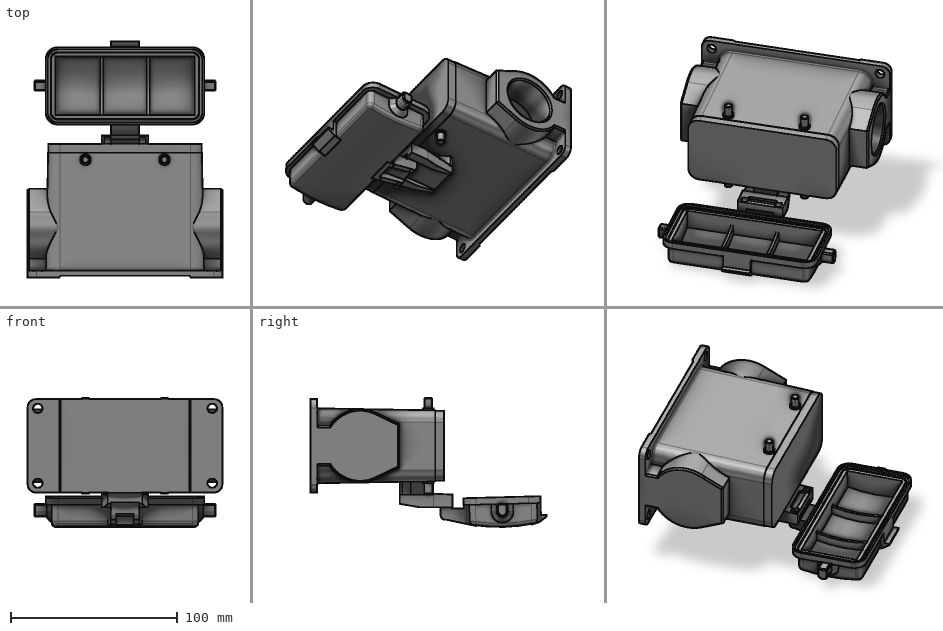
import cadquery as cq
import math

overall_length = 141.7

flange_width = 117.0
flange_height = 56.1
flange_thickness = 4.1
flange_corner = 5.1
flange_hole_diameter = 5.5
flange_hole_x = 52.3
flange_hole_z = 22.4
recess_depth = 1.0
recess_half_width = 39.5

body_root_size = (95.0, 45.2)
body_root_corner = 8.2
body_inset = 1.3
body_end_y = 75.0
body_root_fillet = 1.0
mouth_size = (92.1, 42.1)
mouth_corner = 6.8
housing_length = 80.2

port_y = 29.9
port_radius = 22.0
port_flat_y = 53.3
port_flat_half_height = 13.2
port_neck_half_height = 11.9
port_web_half_height = 14.2
port_inner_x = 28.3
port_edge_chamfer = 1.0
port_bore_radius = 15.2
port_bore_depth = 19.0

pin_x = 23.7
pin_y = 70.7
pin_radius = 2.3
pin_tip_z = 28.8
pin_chamfer = 0.4
collar_radius = 3.3
collar_z = 22.4

bracket_front_y = 53.6
bracket_front_half_width = 10.3
bracket_half_width = 14.0
bracket_flare_y = 73.7
bracket_end_y = 85.3
bracket_bottom_z = -37.0
bracket_front_bottom_z = -34.9
bracket_slope_y = 65.9
bracket_shoulder_z = -29.5
bracket_top_z = -28.6
bracket_end_top_z = -29.2
post_half_width = 7.1
post_waist_y = 60.2
post_plate_y = 55.1
socket_inner_x = 8.5
socket_outer_x = 12.5
socket_y = 82.5
socket_radius = 2.1
knuckle_slot_z = -33.9
knuckle_relief_y = (78.8, 84.2)
knuckle_relief_z = -30.5

lid_z = -30.8
lid_tilt = 1.5
rim_size = (95.2, 46.3)
rim_corner = 7.4
rim_height = 4.1
lip_width = 1.3
lip_depth = 1.4
seat_inset = 3.0
seat_step = 0.4
seat_chamfer = 0.35
cavity_inset = 5.7
cavity_floor = 13.6
shell_size = (87.9, 40.5)
shell_shift_y = 0.5
shell_corner = 3.5
shell_edge_fillet = 2.5
lid_side_depth = 15.9
lid_sag = 2.1
rib_x = 14.0
rib_thickness = 1.7
rib_height = 5.2
rib_end_fillet = 1.0

peg_tip_x = 54.4
peg_radius = 3.1
peg_center_z = -8.6
peg_top_z = -4.0
peg_chamfer = 0.7
peg_top_chamfer = 0.9
boss_radius = 6.7
boss_tip_x = 47.0
boss_tip_radius = 3.4

strap_half_width = 8.5
strap_root_fillet = 1.8
tab_tip_y = 26.5
tab_top_z = -11.3
tab_tip_z = -12.3
tab_bottom = (21.8, -15.7)
arm_end_y = -37.1
arm_top_z = -6.1
arm_knuckle_y = -30.2
arm_knuckle_z = -2.3
arm_end_z = -9.8
arm_bottom = (-33.6, -12.8)
arm_slot_half_width = 5.2
arm_slot_end_z = -9.1
arm_slot_wall_z = -10.9

half_width = flange_width / 2
tilt_angle = math.radians(lid_tilt)
lid_y = overall_length - tab_tip_y * math.cos(tilt_angle) + tab_tip_z * math.sin(tilt_angle)
shell_near_y = shell_shift_y - shell_size[1] / 2
shell_far_y = shell_shift_y + shell_size[1] / 2
strap_root_z = -lid_side_depth - lid_sag / 2


def rounded_plate(size, corner, start, thickness, plane="XY"):
    """Rounded rectangle with thickness along the plane's normal."""
    plate = cq.Workplane(plane).workplane(offset=start)
    return plate.rect(*size).extrude(thickness).edges("|Z" if plane == "XY" else "|Y").fillet(corner)


def rounded_rectangle(size, corner):
    return cq.Sketch().rect(*size).vertices().fillet(corner)


def block(x_range, y_range, z_range):
    spans = [high - low for low, high in (x_range, y_range, z_range)]
    return cq.Workplane("XY").box(*spans, centered=False).translate((x_range[0], y_range[0], z_range[0]))


def prism_across(profile, half):
    """Closed Y-Z outline extruded evenly to both sides of x = 0."""
    return profile.close().extrude(half, both=True)


def side_profile():
    return cq.Workplane("YZ")


def mirrored(shape):
    return shape.union(shape.mirror("YZ"))


def housing_body():
    taper = math.degrees(math.atan(body_inset / body_end_y))
    root = cq.Workplane("XZ").placeSketch(rounded_rectangle(body_root_size, body_root_corner))
    mouth = rounded_plate(mouth_size, mouth_corner, -housing_length, housing_length - body_end_y, "XZ")
    return root.extrude(-body_end_y, taper=taper).union(mouth)


def fillet_body_root(housing):
    reach_x, reach_z = (side / 2 for side in body_root_size)
    around_root = cq.selectors.BoxSelector(
        (-reach_x, flange_thickness - body_root_fillet, -reach_z),
        (reach_x, flange_thickness + body_root_fillet, reach_z),
        boundingbox=True,
    )
    return housing.edges(around_root).fillet(body_root_fillet)


def flange():
    plate = rounded_plate(
        (flange_width, flange_height), flange_corner, -flange_thickness, flange_thickness, "XZ"
    )
    holes = (
        cq.Workplane("XZ")
        .rect(2 * flange_hole_x, 2 * flange_hole_z, forConstruction=True)
        .vertices()
        .circle(flange_hole_diameter / 2)
        .extrude(-flange_thickness)
    )
    return plate.cut(holes)


def flange_recess():
    floor_half_width = recess_half_width - recess_depth
    outline = cq.Workplane("XY").polyline(
        [
            (-recess_half_width, 0),
            (recess_half_width, 0),
            (floor_half_width, recess_depth),
            (-floor_half_width, recess_depth),
        ]
    )
    return outline.close().extrude(flange_height / 2, both=True)


def port():
    """Cable port on the +X side: a round boss with a tapered nose and a neck to the flange."""
    nose_length = port_flat_y - port_y
    nose_distance = math.hypot(nose_length, port_flat_half_height)
    tangent_angle = math.atan2(port_flat_half_height, nose_length) + math.acos(port_radius / nose_distance)
    tangent_y = port_y + port_radius * math.cos(tangent_angle)
    tangent_z = port_radius * math.sin(tangent_angle)
    neck_y = port_y - math.sqrt(port_radius**2 - port_neck_half_height**2)
    neck_root_z = port_neck_half_height + body_root_fillet
    outline = (
        cq.Workplane("YZ")
        .workplane(offset=port_inner_x)
        .moveTo(0, port_web_half_height)
        .lineTo(flange_thickness, port_web_half_height)
        .lineTo(flange_thickness, neck_root_z)
        .radiusArc((flange_thickness + body_root_fillet, port_neck_half_height), -body_root_fillet)
        .lineTo(neck_y, port_neck_half_height)
        .threePointArc((port_y, port_radius), (tangent_y, tangent_z))
        .lineTo(port_flat_y, port_flat_half_height)
        .lineTo(port_flat_y, -port_flat_half_height)
        .lineTo(tangent_y, -tangent_z)
        .threePointArc((port_y, -port_radius), (neck_y, -port_neck_half_height))
        .lineTo(flange_thickness + body_root_fillet, -port_neck_half_height)
        .radiusArc((flange_thickness, -neck_root_z), -body_root_fillet)
        .lineTo(flange_thickness, -port_web_half_height)
        .lineTo(0, -port_web_half_height)
        .close()
    )
    return outline.extrude(half_width - port_inner_x).faces(">X").chamfer(port_edge_chamfer)


def port_bore():
    """Blind bore of the -X port, with a chamfered mouth."""
    mouth_center = (-half_width, port_y, 0)
    bore = cq.Workplane("YZ", origin=mouth_center).circle(port_bore_radius).extrude(port_bore_depth)
    mouth = cq.Solid.makeCone(
        port_bore_radius + port_edge_chamfer,
        port_bore_radius,
        port_edge_chamfer,
        cq.Vector(*mouth_center),
        cq.Vector(1, 0, 0),
    )
    return bore.union(mouth)


def locking_pins():
    spots = [(-pin_x, pin_y), (pin_x, pin_y)]
    pins = cq.Workplane("XY").pushPoints(spots).circle(pin_radius).extrude(pin_tip_z, both=True)
    pins = pins.faces("<Z or >Z").chamfer(pin_chamfer)
    return pins.union(cq.Workplane("XY").pushPoints(spots).circle(collar_radius).extrude(collar_z, both=True))


def hinge_bracket():
    plan = (
        cq.Workplane("XY")
        .workplane(offset=bracket_bottom_z)
        .polyline(
            [
                (-bracket_front_half_width, bracket_front_y),
                (bracket_front_half_width, bracket_front_y),
                (bracket_half_width, bracket_flare_y),
                (bracket_half_width, bracket_end_y),
                (-bracket_half_width, bracket_end_y),
                (-bracket_half_width, bracket_flare_y),
            ]
        )
        .close()
        .extrude(bracket_top_z - bracket_bottom_z)
    )
    side = side_profile().polyline(
        [
            (bracket_front_y, bracket_front_bottom_z),
            (bracket_slope_y, bracket_bottom_z),
            (bracket_end_y, bracket_bottom_z),
            (bracket_end_y, bracket_end_top_z),
            (bracket_flare_y, bracket_top_z),
            (bracket_flare_y, bracket_shoulder_z),
            (bracket_front_y, bracket_shoulder_z),
        ]
    )
    arms = plan.intersect(prism_across(side, bracket_half_width))
    slot = block(
        (-strap_half_width, strap_half_width),
        (bracket_front_y, bracket_end_y),
        (bracket_bottom_z, knuckle_slot_z),
    )
    sockets = mirrored(
        cq.Workplane("YZ", origin=(socket_inner_x, socket_y, bracket_end_top_z))
        .circle(socket_radius)
        .extrude(socket_outer_x - socket_inner_x)
    )
    relief_start_y, relief_end_y = knuckle_relief_y
    relief = side_profile().polyline(
        [
            (relief_end_y, bracket_top_z),
            (relief_start_y, bracket_top_z),
            (relief_start_y, knuckle_relief_z),
        ]
    )
    arms = arms.cut(slot).cut(sockets).cut(prism_across(relief, strap_half_width))
    return arms.union(bracket_post())


def bracket_post():
    """Post that hangs the bracket from the underside of the housing."""
    right_side = [
        (bracket_front_half_width, bracket_front_y),
        (bracket_front_half_width, post_plate_y),
        (post_half_width, post_waist_y),
        (post_half_width, bracket_flare_y),
    ]
    left_side = [(-x, y) for x, y in reversed(right_side)]
    root_z = -mouth_size[1] / 2
    outline = cq.Workplane("XY").workplane(offset=root_z).polyline(right_side + left_side).close()
    return outline.extrude(bracket_shoulder_z - root_z)


def crowned_prism(half_x, half_y, top_z, side_z):
    """Box from top_z down to a floor that bows down by lid_sag at y = 0."""
    profile = (
        side_profile()
        .moveTo(-half_y, top_z)
        .lineTo(-half_y, side_z)
        .threePointArc((0, side_z - lid_sag), (half_y, side_z))
        .lineTo(half_y, top_z)
    )
    return prism_across(profile, half_x)


def lid_shell():
    half_x, half_y = (side / 2 for side in shell_size)
    shell = crowned_prism(half_x, half_y, -rim_height, -lid_side_depth)
    shell = shell.edges("|Z").fillet(shell_corner)
    shell = shell.faces("<Z").edges().fillet(shell_edge_fillet)
    shell = shell.translate((0, shell_shift_y, 0))
    return shell.union(rounded_plate(rim_size, rim_corner, -rim_height, rim_height))


def inset_plate(inset, depth):
    size = [side - 2 * inset for side in rim_size]
    return rounded_plate(size, rim_corner - inset, -depth, depth)


def lid_cavity():
    seat_depth = lip_depth + seat_step
    seat = inset_plate(seat_inset, seat_depth).faces("<Z").edges().chamfer(seat_chamfer)
    half_x, half_y = (side / 2 - cavity_inset for side in rim_size)
    cavity = crowned_prism(half_x, half_y, 0, -cavity_floor)
    ribs_room = crowned_prism(half_x, half_y, 0, rib_height - cavity_floor)
    ribs_room = ribs_room.faces("<Z").edges("|X").fillet(rib_end_fillet)
    for x in (-rib_x, rib_x):
        rib = block(
            (x - rib_thickness / 2, x + rib_thickness / 2),
            (-half_y, half_y),
            (-cavity_floor - lid_sag, 0),
        )
        cavity = cavity.cut(rib.cut(ribs_room))
    return inset_plate(lip_width, lip_depth).union(seat).union(cavity)


def u_outline(x, radius):
    return (
        cq.Workplane("YZ", origin=(x, 0, 0))
        .moveTo(-radius, peg_top_z)
        .lineTo(-radius, peg_center_z)
        .threePointArc((0, peg_center_z - radius), (radius, peg_center_z))
        .lineTo(radius, peg_top_z)
        .close()
    )


def side_peg():
    """U-shaped peg on the +X wall of the lid, on a tapered boss."""
    wall_x = shell_size[0] / 2
    peg = u_outline(wall_x, peg_radius).extrude(peg_tip_x - wall_x)
    peg = peg.faces(">Z").edges("|X").chamfer(peg_top_chamfer).faces(">X").chamfer(peg_chamfer)
    wires = [u_outline(x, r).wires().val() for x, r in ((wall_x, boss_radius), (boss_tip_x, boss_tip_radius))]
    return peg.union(cq.Workplane(cq.Solid.makeLoft(wires, True)))


def finger_tab():
    rim_y = rim_size[1] / 2
    root_y = shell_far_y - shell_corner
    profile = side_profile().polyline(
        [
            (root_y, -rim_height),
            (rim_y, -rim_height),
            (rim_y, tab_top_z),
            (tab_tip_y, tab_top_z),
            (tab_tip_y, tab_tip_z),
            tab_bottom,
            (root_y, strap_root_z),
        ]
    )
    return prism_across(profile, strap_half_width)


def arm_root():
    """Rounded corners between the sides of the hinge arm and the lid wall."""
    outer_x = strap_half_width + strap_root_fillet
    end_y = shell_near_y - strap_root_fillet
    inner_y = shell_near_y + shell_edge_fillet
    plan = (
        cq.Workplane("XY")
        .workplane(offset=-lid_side_depth)
        .moveTo(-outer_x, inner_y)
        .lineTo(-outer_x, shell_near_y)
        .radiusArc((-strap_half_width, end_y), strap_root_fillet)
        .lineTo(strap_half_width, end_y)
        .radiusArc((outer_x, shell_near_y), strap_root_fillet)
        .lineTo(outer_x, inner_y)
        .close()
    )
    return plan.extrude(lid_side_depth - rim_height)


def hinge_arm():
    """Arm from the lid wall to a rounded lower end, slotted from below into two legs."""
    rim_y = rim_size[1] / 2
    root_y = shell_near_y + shell_corner
    profile = (
        side_profile()
        .moveTo(root_y, -rim_height)
        .lineTo(-rim_y, -rim_height)
        .lineTo(-rim_y, arm_top_z)
        .lineTo(arm_knuckle_y, arm_top_z)
        .lineTo(arm_knuckle_y, arm_knuckle_z)
        .lineTo(arm_end_y, arm_knuckle_z)
        .lineTo(arm_end_y, arm_end_z)
        .tangentArcPoint(arm_bottom, relative=False)
        .lineTo(root_y, strap_root_z)
    )
    slot = side_profile().polyline(
        [
            (arm_end_y, arm_slot_end_z),
            (shell_near_y, arm_slot_wall_z),
            (shell_near_y, strap_root_z),
            (arm_end_y, strap_root_z),
        ]
    )
    arm = prism_across(profile, strap_half_width).union(arm_root())
    return arm.cut(prism_across(slot, arm_slot_half_width))


def lid():
    cover = lid_shell().union(mirrored(side_peg())).union(finger_tab()).union(hinge_arm()).cut(lid_cavity())
    return cover.rotate((0, 0, 0), (1, 0, 0), lid_tilt).translate((0, lid_y, lid_z))


housing = fillet_body_root(housing_body().union(flange())).union(mirrored(port())).union(locking_pins())
housing = housing.cut(flange_recess()).cut(port_bore())
result = housing.union(hinge_bracket()).union(lid())